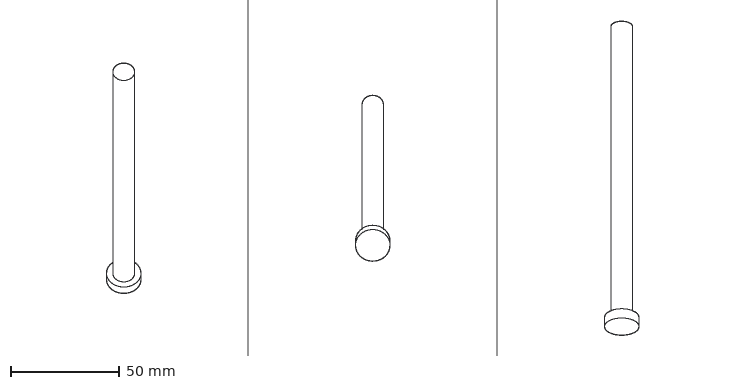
import cadquery as cq

total_length = 160.0
head_diameter = 16.0
head_thickness = 5.0
shank_diameter = 10.0

head = cq.Workplane("XY").circle(head_diameter / 2).extrude(head_thickness)
shank = cq.Workplane("XY").circle(shank_diameter / 2).extrude(total_length)

result = head.union(shank)